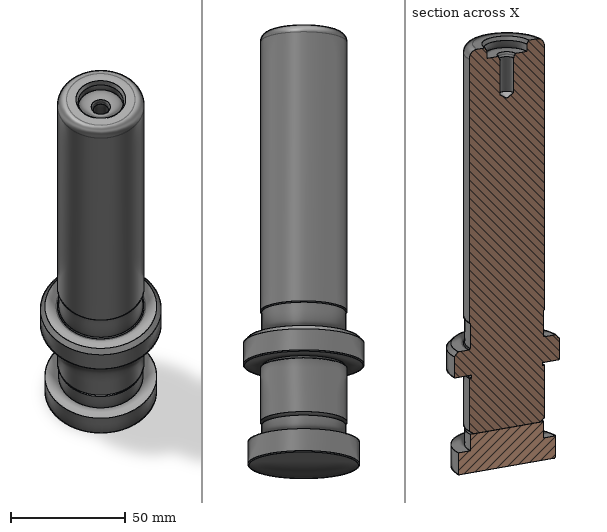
import cadquery as cq
import math

total_height = 195.0

flange_radius = 24.5
flange_height = 10.4
hub_radius = 18.5
hub_height = 7.6
disc_edge_chamfer = 0.5
disc_height = flange_height + hub_height

pillar_radius = 19.0
pillar_bottom = disc_height
foot_chamfer_height = 1.5
foot_chamfer_width = 2.0
top_fillet = 4.0

collar_radius = 26.5
collar_bottom = 45.0
collar_top = 57.0
collar_top_chamfer = 2.0
collar_bottom_chamfer = 0.5

lower_relief_radius = 18.0
lower_relief_height = 1.2
neck_radius = 18.5
neck_top = 69.5
neck_shoulder_chamfer = pillar_radius - neck_radius
root_outer_radius = 19.6
root_rise = 0.5
root_arc_radius = 0.9

recess_radius = 9.9
recess_depth = 5.0
recess_mouth_radius = 10.9
recess_cone_depth = (recess_mouth_radius - recess_radius) / math.tan(math.radians(30))

bore_radius = 3.3
countersink_middle_radius = 3.65
countersink_middle_depth = 1.0
countersink_mouth_radius = 4.2
countersink_depth = 2.0
bore_depth = 18.0
drill_point_height = bore_radius / math.tan(math.radians(59))


def revolve_about_z(profile):
    """Solid of revolution from an (r, z) profile drawn in the XZ plane."""
    return profile.close().revolve(360, (0, 0, 0), (0, 1, 0))


def make_clamping_disc():
    flange = cq.Workplane("XY").circle(flange_radius).extrude(flange_height)
    flange = flange.faces("<Z").chamfer(disc_edge_chamfer)
    hub = cq.Workplane("XY").circle(hub_radius).extrude(disc_height)
    return flange.union(hub)


def make_pillar_shaft():
    shaft = (
        cq.Workplane("XY", origin=(0, 0, pillar_bottom))
        .circle(pillar_radius)
        .extrude(total_height - pillar_bottom)
    )
    shaft = shaft.faces("<Z").chamfer(foot_chamfer_height, foot_chamfer_width)
    return shaft.faces(">Z").edges().fillet(top_fillet)


def make_collar():
    collar = (
        cq.Workplane("XY", origin=(0, 0, collar_bottom))
        .circle(collar_radius)
        .extrude(collar_top - collar_bottom)
    )
    collar = collar.faces(">Z").chamfer(collar_top_chamfer)
    return collar.faces("<Z").chamfer(collar_bottom_chamfer)


def make_lower_relief():
    """Ring that undercuts the shaft just below the collar."""
    return (
        cq.Workplane("XY", origin=(0, 0, collar_bottom - lower_relief_height))
        .circle(collar_radius)
        .circle(lower_relief_radius)
        .extrude(lower_relief_height)
    )


def make_neck_relief():
    """Ring that thins the shaft above the collar and ends in a hollow root at the collar's top face."""
    return revolve_about_z(
        cq.Workplane("XZ")
        .moveTo(neck_radius, collar_top + root_rise)
        .radiusArc((root_outer_radius, collar_top), -root_arc_radius)
        .lineTo(root_outer_radius, neck_top)
        .lineTo(pillar_radius, neck_top)
        .lineTo(neck_radius, neck_top - neck_shoulder_chamfer)
    )


def make_top_hole():
    """Stepped centre hole cut down from the top face."""
    recess_floor = total_height - recess_depth
    bore_floor = recess_floor - bore_depth
    return revolve_about_z(
        cq.Workplane("XZ")
        .moveTo(0, total_height)
        .lineTo(recess_mouth_radius, total_height)
        .lineTo(recess_radius, total_height - recess_cone_depth)
        .lineTo(recess_radius, recess_floor)
        .lineTo(countersink_mouth_radius, recess_floor)
        .lineTo(countersink_middle_radius, recess_floor - countersink_middle_depth)
        .lineTo(bore_radius, recess_floor - countersink_depth)
        .lineTo(bore_radius, bore_floor)
        .lineTo(0, bore_floor - drill_point_height)
    )


def make_guide_pillar():
    pillar = make_pillar_shaft().union(make_collar())
    pillar = pillar.cut(make_lower_relief())
    pillar = pillar.cut(make_neck_relief())
    return pillar.cut(make_top_hole())


clamping_disc = make_clamping_disc()
guide_pillar = make_guide_pillar()

result = cq.Compound.makeCompound([clamping_disc.val(), guide_pillar.val()])